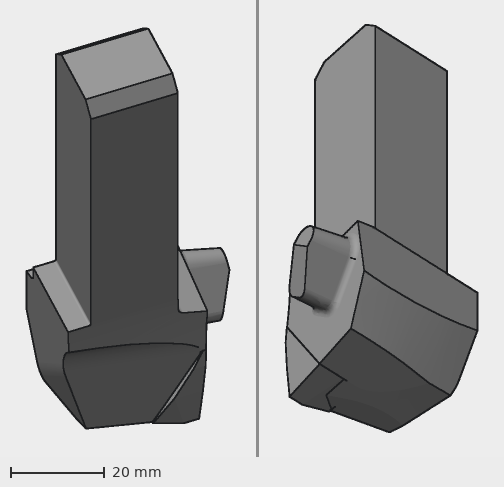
import cadquery as cq
import math


TOP_Z = 103.0
SHANK_WIDTH = 20.0
SHANK_HALF = SHANK_WIDTH / 2
SHANK_CHAMFER = 3.1
SHANK_ROOT_Z = 30.9

HEAD_LEFT = -13.8
HEAD_FRONT = -15.2
HEAD_BACK = 18.0
LEDGE_Z = 34.1
LEDGE_FILLET = 0.5
SHOULDER_Z = 30.0
SHOULDER_ANGLE = 15.0
SHOULDER_FILLET = 1.5
BEVEL_TOP_Z = 12.8
BEVEL_FOOT = (-7.3, 1.4)
BEVEL_RADIUS = 154.5
BEVEL_CREST_Y = 9.3
BOTTOM_MIDDLE = (4.1, 0.6)
FLARE = [(13.6, 0.5), (13.4, 17.7), (12.0, 22.0)]
FLARE_ARC = (10.6, 28.0)
BOTTOM_FRONT_Z = 2.5
BOTTOM_BACK_Z = 0.6
BOTTOM_ARC = (-5.2, 1.0)
BOTTOM_FLAT_Y = 4.1
BACK_SLOPE_X = -0.064
BACK_SLOPE_Z = 0.12

FACET_OFFSET = 11.7
FACET_ANGLE = 15.0
FACET_FILLET = 11.3
FACET_EDGE_X = 0.0

SCOOP_START = (7.3, HEAD_FRONT, 19.0)
SCOOP_SLOPE = 0.19
SCOOP_FALL_SLOPE = 0.17
SCOOP_RADIUS = 10.1

PEG_END_Y = 27.3
PEG_ROOT_Y = 14.4
PEG_END_CENTRE = (-7.0, 21.1)
PEG_END_RADIUS = 3.2
PEG_TAPER = 0.11
PEG_LEAN = 0.08
PEG_TAIL_X_MINUS_Z = -11.0
PEG_TAIL_ROUND = 2.1
PEG_SLANT_START = -25.9
PEG_SLANT_ANGLE = 25.2
PEG_FILLET = 1.5
PEG_ROOT_POINT = (-10.7, 17.2, 24.7)

RELIEF_Z = -0.7
RELIEF_SLOPE_X = 0.2
RELIEF_SLOPE_Y = -0.1

TIP_CREST = (15.0, 0.0)
TIP_PROFILE = [(13.1, 19.1), (14.1, 15.2), (14.7, 8.2), TIP_CREST, (4.1, 0.5)]
TIP_FRONT_Y = 1.5
TIP_FRONT_SLOPE = 0.68
TIP_CREST_Y = 9.3
TIP_SIDE_SLOPE = 0.16
TIP_BOTTOM_SLOPE = 0.25

REACH = 61.8
OVERSHOOT = 5.2


def prism_along_y(points, y_start, y_end):
    """Prism of an X, Z outline between two Y positions."""
    plane = cq.Workplane("XZ", origin=(0, y_start, 0))
    return plane.polyline(points).close().extrude(y_start - y_end)


def half_space(origin, normal):
    """Large block on the side of a plane that its normal points to."""
    plane = cq.Plane(origin=origin, normal=normal)
    return cq.Workplane(plane).rect(2 * REACH, 2 * REACH).extrude(REACH)


def shoulder_drop(run):
    return run * math.tan(math.radians(SHOULDER_ANGLE))


def round_shoulder(prism, x, y):
    """Round the inner corner between a shoulder and the shank side."""
    corner = cq.selectors.NearestToPointSelector((x, y, SHOULDER_Z))
    return prism.edges(corner).fillet(SHOULDER_FILLET)


def make_shank():
    shank = cq.Workplane("XY", origin=(0, 0, SHANK_ROOT_Z)).box(
        SHANK_WIDTH, SHANK_WIDTH, TOP_Z - SHANK_ROOT_Z, centered=(True, True, False)
    )
    return shank.faces(">Z").edges("|Y").chamfer(SHANK_CHAMFER)


def make_front_prism():
    """Outline of the head across X: left shoulder, flare on the right, bevel left uncut."""
    back_end = HEAD_BACK + REACH
    outline = [
        (-SHANK_HALF, LEDGE_Z),
        (-SHANK_HALF, SHOULDER_Z),
        (HEAD_LEFT, SHOULDER_Z - shoulder_drop(-SHANK_HALF - HEAD_LEFT)),
        (HEAD_LEFT, BEVEL_FOOT[1]),
        BEVEL_FOOT,
        BOTTOM_MIDDLE,
        *FLARE,
    ]
    prism = (
        cq.Workplane("XZ", origin=(0, HEAD_FRONT, 0))
        .polyline(outline)
        .threePointArc(FLARE_ARC, (SHANK_HALF, LEDGE_Z))
        .close()
        .extrude(HEAD_FRONT - back_end)
    )
    return round_shoulder(prism, -SHANK_HALF, (HEAD_FRONT + back_end) / 2)


def make_side_prism():
    """Outline of the head across Y: ledge, back shoulder and curved underside."""
    back_end = HEAD_BACK + OVERSHOOT
    prism = (
        cq.Workplane("YZ", origin=(-REACH, 0, 0))
        .moveTo(HEAD_FRONT, LEDGE_Z)
        .lineTo(HEAD_FRONT, BOTTOM_FRONT_Z)
        .threePointArc(BOTTOM_ARC, (BOTTOM_FLAT_Y, BOTTOM_BACK_Z))
        .lineTo(back_end, BOTTOM_BACK_Z)
        .lineTo(back_end, SHOULDER_Z - shoulder_drop(back_end - SHANK_HALF))
        .lineTo(SHANK_HALF, SHOULDER_Z)
        .lineTo(SHANK_HALF, LEDGE_Z)
        .close()
        .extrude(2 * REACH)
    )
    return round_shoulder(prism, 0, SHANK_HALF)


def make_bevel_cylinder():
    """Large cylinder whose skin is the bulging bevel; it holds the whole head."""
    run = BEVEL_FOOT[0] - HEAD_LEFT
    fall = BEVEL_TOP_Z - BEVEL_FOOT[1]
    length = math.hypot(run, fall)
    centre = (
        HEAD_LEFT + BEVEL_RADIUS * fall / length,
        BEVEL_CREST_Y,
        BEVEL_TOP_Z + BEVEL_RADIUS * run / length,
    )
    plane = cq.Plane(origin=centre, xDir=(0, 1, 0), normal=(run, 0, -fall))
    return cq.Workplane(plane).circle(BEVEL_RADIUS).extrude(REACH, both=True)


def cut_facet(head):
    """Cut the slanted facet out of the front face and round its upper edge."""
    plane = cq.Plane(
        origin=(-FACET_OFFSET, HEAD_FRONT, 0), xDir=(1, 0, -1), normal=(1, 0, 1)
    )
    depth = REACH * math.tan(math.radians(FACET_ANGLE))
    wedge = (
        cq.Workplane(plane)
        .polyline([(0, 0), (REACH, depth), (REACH, -OVERSHOOT), (0, -OVERSHOOT)])
        .close()
        .extrude(REACH, both=True)
    )
    edge_point = (FACET_EDGE_X, HEAD_FRONT, FACET_EDGE_X + FACET_OFFSET)
    edge = cq.selectors.NearestToPointSelector(edge_point)
    return head.cut(wedge).edges(edge).fillet(FACET_FILLET)


def make_scoop():
    """Tool with a straight sloping wall and a round top, pushed in from the front."""
    plane = cq.Plane(
        origin=SCOOP_START, xDir=(1, -SCOOP_SLOPE, 0), normal=(-SCOOP_SLOPE, -1, 0)
    )
    tilt = math.atan(SCOOP_FALL_SLOPE)
    arc_x = SCOOP_RADIUS * math.cos(tilt)
    arc_z = SCOOP_RADIUS * math.sin(tilt)
    middle = math.radians(135)
    wall_length = SCOOP_START[2] + OVERSHOOT
    return (
        cq.Workplane(plane)
        .moveTo(SCOOP_FALL_SLOPE * wall_length, -wall_length)
        .lineTo(0, 0)
        .threePointArc(
            (arc_x + SCOOP_RADIUS * math.cos(middle), arc_z + SCOOP_RADIUS * math.sin(middle)),
            (arc_x, arc_z + SCOOP_RADIUS),
        )
        .lineTo(REACH, arc_z + SCOOP_RADIUS)
        .lineTo(REACH, -wall_length)
        .close()
        .extrude(REACH, both=True)
    )


def peg_section(y):
    """Outline of the peg at one depth: a half circle, two sides and a flat rounded end."""
    depth = PEG_END_Y - y
    centre_x = PEG_END_CENTRE[0] - PEG_LEAN * depth
    centre_z = PEG_END_CENTRE[1] + PEG_LEAN * depth
    radius = PEG_END_RADIUS + PEG_TAPER * depth
    length = (PEG_TAIL_X_MINUS_Z - (centre_x - centre_z)) / math.sqrt(2) - (radius - PEG_END_RADIUS)
    rounding = PEG_TAIL_ROUND
    inset = rounding * (1 - math.sqrt(0.5))
    plane = cq.Plane(origin=(centre_x, y, centre_z), xDir=(1, 0, -1), normal=(0, -1, 0))
    outline = (
        cq.Workplane(plane)
        .moveTo(0, radius)
        .threePointArc((-radius, 0), (0, -radius))
        .lineTo(length - rounding, -radius)
        .threePointArc((length - inset, inset - radius), (length, rounding - radius))
        .lineTo(length, radius - rounding)
        .threePointArc((length - inset, radius - inset), (length - rounding, radius))
        .close()
    )
    return outline.val()


def make_peg():
    peg = cq.Workplane(cq.Solid.makeLoft([peg_section(PEG_ROOT_Y), peg_section(PEG_END_Y)], True))
    slant = math.radians(PEG_SLANT_ANGLE)
    sideways = math.sin(slant) / math.sqrt(2)
    slant_origin = (PEG_SLANT_START / 2, PEG_END_Y, -PEG_SLANT_START / 2)
    return peg.cut(half_space(slant_origin, (sideways, math.cos(slant), -sideways)))


def space_behind_head():
    """Everything behind the tilted back face."""
    corner_z = SHOULDER_Z - shoulder_drop(HEAD_BACK - SHANK_HALF)
    return half_space((HEAD_LEFT, HEAD_BACK, corner_z), (-BACK_SLOPE_X, 1, -BACK_SLOPE_Z))


def make_tip():
    """Cutting tip: a wedge that is flush with the back face and tapers towards the front."""
    crest = (TIP_CREST[0], TIP_CREST_Y, TIP_CREST[1])
    tip = prism_along_y(TIP_PROFILE, TIP_FRONT_Y, HEAD_BACK).cut(space_behind_head())
    tip = tip.cut(half_space((0, TIP_FRONT_Y, 0), (0, -1, TIP_FRONT_SLOPE)))
    tip = tip.cut(half_space(crest, (1, -TIP_SIDE_SLOPE, 0)))
    return tip.cut(half_space(crest, (0, -TIP_BOTTOM_SLOPE, -1)))


def make_head():
    head = make_front_prism().intersect(make_side_prism()).intersect(make_bevel_cylinder())
    head = cut_facet(head.cut(space_behind_head())).cut(make_scoop())
    relief = half_space((0, 0, RELIEF_Z), (RELIEF_SLOPE_X, RELIEF_SLOPE_Y, -1))
    return head.cut(relief)


def make_holder(tip):
    holder = make_head().union(make_shank())
    ledge_corner = cq.selectors.NearestToPointSelector((0, -SHANK_HALF, LEDGE_Z))
    holder = holder.edges(ledge_corner).fillet(LEDGE_FILLET)
    holder = holder.union(make_peg())
    peg_root = cq.selectors.NearestToPointSelector(PEG_ROOT_POINT)
    holder = holder.edges(peg_root).fillet(PEG_FILLET)
    return holder.cut(tip)


tip = make_tip()
holder = make_holder(tip)

result = cq.Compound.makeCompound([holder.val(), tip.val()])